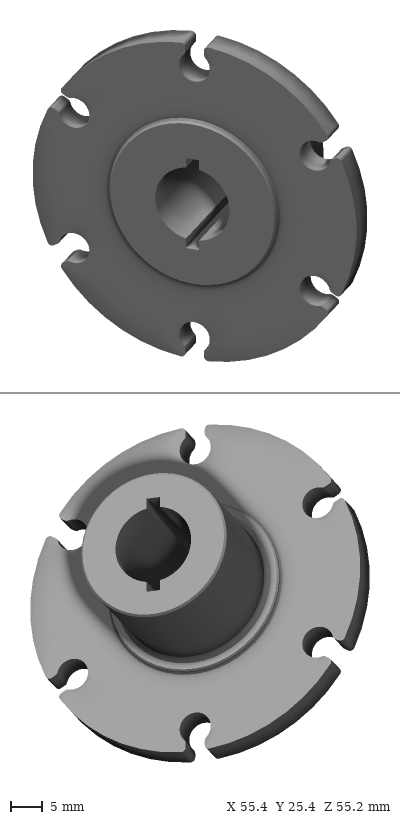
import cadquery as cq
import math

total_length = 25.4
collar_height = 0.9
flange_thickness = 4.6
flange_front = collar_height
flange_back = flange_front + flange_thickness
collar_back = flange_back + collar_height

flange_radius = 27.7
collar_radius = 28.55 / 2
hub_radius = 24.35 / 2
hub_root_chamfer = 0.8
hub_end_chamfer = 0.35
collar_chamfer = 0.3

bore_diameter = 12.7
keyway_width = 2.2
keyway_span = 15.85

slot_count = 6
slot_hole_radius = 2.6
slot_hole_distance = 23.75
slot_neck_width = 3.2
slot_edge_fillet = 0.7


def make_body():
    """Revolve the flange, its two collars and the hub about the Y axis."""
    collar_root = collar_radius + collar_chamfer
    collar_edge = collar_radius - collar_chamfer
    profile = [
        (0, 0),
        (collar_edge, 0),
        (collar_radius, collar_chamfer),
        (collar_radius, flange_front - collar_chamfer),
        (collar_root, flange_front),
        (flange_radius, flange_front),
        (flange_radius, flange_back),
        (collar_root, flange_back),
        (collar_radius, flange_back + collar_chamfer),
        (collar_radius, collar_back - collar_chamfer),
        (collar_edge, collar_back),
        (hub_radius + hub_root_chamfer, collar_back),
        (hub_radius, collar_back + hub_root_chamfer),
        (hub_radius, total_length - hub_end_chamfer),
        (hub_radius - hub_end_chamfer, total_length),
        (0, total_length),
    ]
    return cq.Workplane("XY").polyline(profile).close().revolve(360, (0, 0), (0, 1))


def extrude_along_y(sketch, length):
    """Extrude an outline on an XZ plane toward +Y, against the plane normal."""
    return sketch.extrude(-length)


def make_keyhole_cutter():
    """Round hole with a narrower neck that opens through the rim at +Z."""
    plane = cq.Workplane("XZ", origin=(0, flange_front, 0))
    hole = extrude_along_y(
        plane.center(0, slot_hole_distance).circle(slot_hole_radius), flange_thickness
    )
    neck_length = flange_radius - slot_hole_distance + slot_hole_radius
    neck = extrude_along_y(
        plane.center(0, slot_hole_distance + neck_length / 2).rect(slot_neck_width, neck_length),
        flange_thickness,
    )
    return hole.union(neck)


def make_slot_edge_selector():
    """Box around the two neck walls of the +Z slot, including their end edges."""
    neck_start = math.sqrt(slot_hole_radius**2 - (slot_neck_width / 2) ** 2)
    margin = 0.3
    half_width = slot_neck_width / 2 + margin
    return cq.selectors.BoxSelector(
        (-half_width, flange_front, slot_hole_distance + neck_start - margin),
        (half_width, flange_back, flange_radius + margin),
    )


def cut_slots(body):
    """Cut the keyhole slots, rounding the neck of each while it points to +Z."""
    cutter = make_keyhole_cutter()
    edge_selector = make_slot_edge_selector()
    for _ in range(slot_count):
        body = body.cut(cutter)
        body = body.edges("|Y").edges(edge_selector).fillet(slot_edge_fillet)
        body = body.rotate((0, 0, 0), (0, 1, 0), 360 / slot_count)
    return body


def make_bore_cutter():
    """Through bore joined with the slab that forms both keyways."""
    plane = cq.Workplane("XZ")
    bore = extrude_along_y(plane.circle(bore_diameter / 2), total_length)
    keyways = extrude_along_y(plane.rect(keyway_width, keyway_span), total_length)
    return bore.union(keyways)


result = cut_slots(make_body()).cut(make_bore_cutter())